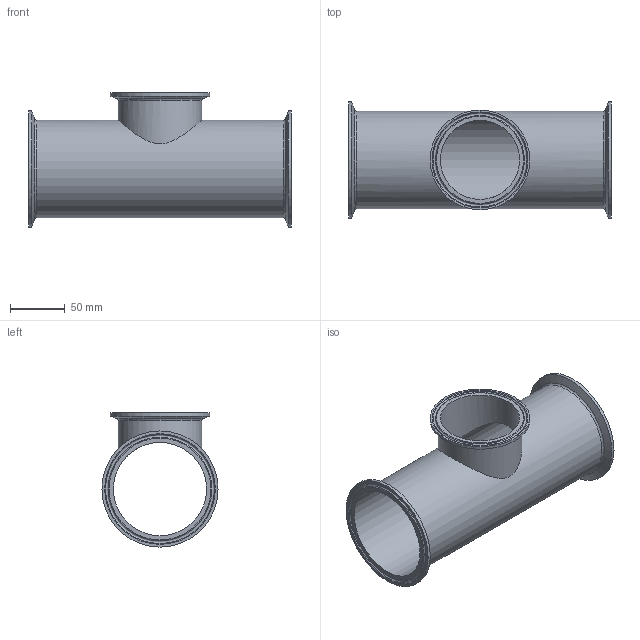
import cadquery as cq
import math

run_length = 240.0
run_outer_diameter = 89.1
run_flange_diameter = 106.0
run_groove_diameter = 97.0

branch_height = 69.5
branch_outer_diameter = 76.3
branch_flange_diameter = 91.0
branch_groove_diameter = 83.5

wall = 2.0

rim_thickness = 2.85
cone_angle = math.radians(20)
neck_fillet_radius = 2.0

groove_half_width = 2.0
groove_bottom_radius = 1.25
groove_lip_radius = 0.8


def bore_diameter(outer_diameter):
    return outer_diameter - 2 * wall


def solid_flange(tube_diameter, flange_diameter):
    """Unbored clamp flange on Z: its face is at Z = 0 and its neck runs down to meet the tube."""
    tube_radius = tube_diameter / 2
    flange_radius = flange_diameter / 2

    corner_depth = rim_thickness + (flange_radius - tube_radius) * math.tan(cone_angle)
    reach = neck_fillet_radius * math.tan((math.pi / 2 - cone_angle) / 2)
    fillet_start = (
        tube_radius + reach * math.cos(cone_angle),
        -(corner_depth - reach * math.sin(cone_angle)),
    )
    fillet_end = (tube_radius, -(corner_depth + reach))

    return (
        cq.Workplane("XZ")
        .lineTo(flange_radius, 0)
        .lineTo(flange_radius, -rim_thickness)
        .lineTo(*fillet_start)
        .radiusArc(fillet_end, -neck_fillet_radius)
        .lineTo(0, fillet_end[1])
        .close()
        .revolve(360, (0, 0), (0, 1))
    )


def gasket_groove(groove_diameter):
    """Ring to cut from a flange whose face is at Z = 0."""
    middle = groove_diameter / 2

    centre_distance = groove_bottom_radius + groove_lip_radius
    centre_drop = math.sqrt(centre_distance**2 - groove_half_width**2)
    lip_share = groove_lip_radius / centre_distance
    touch_offset = groove_half_width * (1 - lip_share)
    touch_depth = groove_lip_radius - centre_drop * lip_share

    return (
        cq.Workplane("XZ")
        .moveTo(middle - groove_half_width, 0)
        .radiusArc((middle - touch_offset, -touch_depth), groove_lip_radius)
        .radiusArc((middle + touch_offset, -touch_depth), -groove_bottom_radius)
        .radiusArc((middle + groove_half_width, 0), groove_lip_radius)
        .close()
        .revolve(360, (0, 0), (0, 1))
    )


def clamp_flange(tube_diameter, flange_diameter, groove_diameter):
    return solid_flange(tube_diameter, flange_diameter).cut(gasket_groove(groove_diameter))


def run_body():
    half_length = run_length / 2
    tube = cq.Workplane("YZ").circle(run_outer_diameter / 2).extrude(half_length, both=True)
    flange = clamp_flange(run_outer_diameter, run_flange_diameter, run_groove_diameter)
    right_flange = flange.rotate((0, 0, 0), (0, 1, 0), 90).translate((half_length, 0, 0))
    left_flange = right_flange.mirror("YZ")
    return tube.union(right_flange).union(left_flange)


def branch_body():
    tube = cq.Workplane("XY").circle(branch_outer_diameter / 2).extrude(branch_height)
    flange = clamp_flange(branch_outer_diameter, branch_flange_diameter, branch_groove_diameter)
    return tube.union(flange.translate((0, 0, branch_height)))


def run_bore():
    radius = bore_diameter(run_outer_diameter) / 2
    return cq.Workplane("YZ").circle(radius).extrude(run_length / 2, both=True)


def branch_bore():
    radius = bore_diameter(branch_outer_diameter) / 2
    return cq.Workplane("XY").circle(radius).extrude(branch_height)


result = run_body().union(branch_body()).cut(run_bore()).cut(branch_bore())